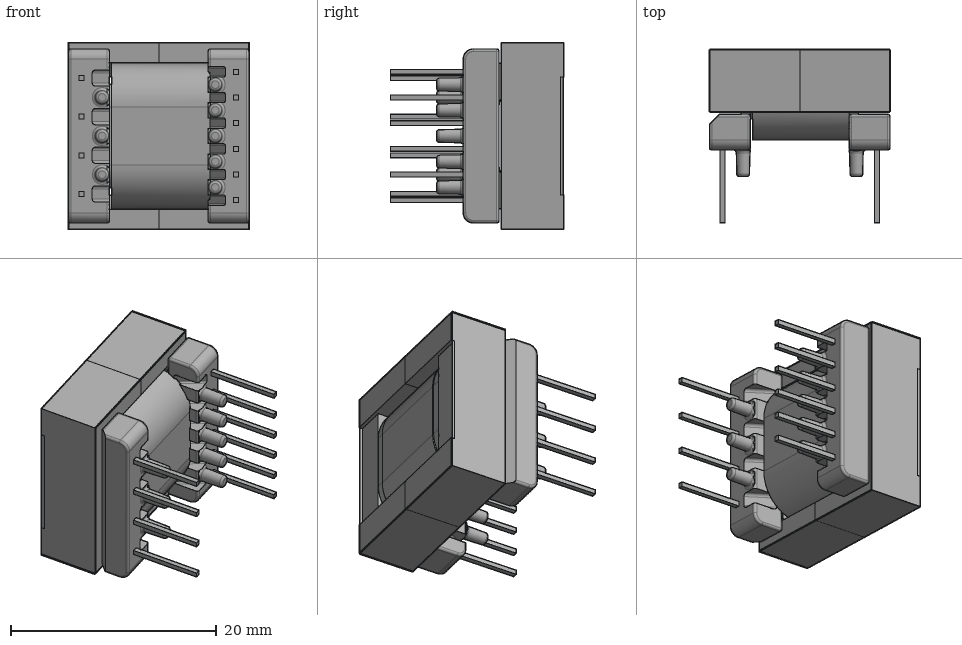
import cadquery as cq
import math


TOTAL_X = 17.65
TOTAL_Z = 18.2
TAPE_THICKNESS = 0.1
TAPE_SETBACK = 0.07
CORE_DEPTH = 6.15
CORE_X = TOTAL_X - 2 * TAPE_THICKNESS
CORE_Z = TOTAL_Z - 2 * TAPE_THICKNESS
WINDOW_HALF_X = 5.73
BACK_OPENING_HALF_Z = 5.75

LEG_RADIUS = 1.55
AXIS_Y = LEG_RADIUS
ROUND_CENTER_Z = 2.84
HOLE_RADIUS = 1.71
TUBE_RADIUS = 2.2
WINDING_RADIUS = 4.24
WINDOW_RADIUS = WINDING_RADIUS + 0.05
BACK_CHANNEL_Y = AXIS_Y + WINDING_RADIUS
WINDING_LEFT_X = -4.59
WINDING_RIGHT_X = 4.97

RAIL_INNER_X = 4.79
RAIL_OUTER_X = 8.77
RAIL_HALF_Z = 8.46
RAIL_BACK_Y = -0.16
RAIL_FRONT_Y = -3.65
RAIL_END_FILLET = 1.0
RAIL_EDGE_FILLET = 0.25
RAIL_CHAMFER = 0.96
FLANGE_OUTER_X = 5.7

SLOT_END_X = 6.46
SLOT_DEPTH = 2.73
FOUR_PIN_SLOT_WIDTH = 1.58
SIX_PIN_SLOT_WIDTH = 1.0
FOUR_PIN_SLOT_FILLET = 0.31
SIX_PIN_SLOT_FILLET = 0.16

PIN_X = 7.5
PIN_WIDTH = 0.5
PIN_TIP_Y = CORE_DEPTH - 16.87
FOUR_PIN_PITCH = 3.75
SIX_PIN_PITCH = 2.5
PEG_X = 5.5
PEG_BASE_RADIUS = 0.67
PEG_TIP_RADIUS = 0.62
PEG_TIP_Y = -6.22
PEG_TIP_FILLET = 0.25
PEG_BASE_FILLET = 0.27


def box(x_range, y_range, z_range):
    """Box between two limits along each axis."""
    sizes = [high - low for low, high in (x_range, y_range, z_range)]
    corner = cq.Vector(x_range[0], y_range[0], z_range[0])
    return cq.Workplane("XY").box(*sizes, centered=False).translate(corner)


def stadium(radius, x_start, x_end):
    """Bar along X with a stadium section around the center-leg axis."""
    return (
        cq.Workplane("YZ", origin=(x_start, AXIS_Y, 0))
        .slot2D(2 * (ROUND_CENTER_Z + radius), 2 * radius, 90)
        .extrude(x_end - x_start)
    )


def front_open_stadium(radius, front_y, x_start, x_end):
    """Stadium bar whose full height continues straight from the axis to front_y."""
    half_z = ROUND_CENTER_Z + radius
    front_block = box((x_start, x_end), (front_y, AXIS_Y), (-half_z, half_z))
    return stadium(radius, x_start, x_end).union(front_block)


def row(count, pitch):
    """Centered, evenly spaced heights."""
    return [(i - (count - 1) / 2) * pitch for i in range(count)]


def make_core_half(side):
    """E-shaped core half; side is -1 or +1 along X."""
    x_range = sorted((0, side * CORE_X / 2))
    window_x = sorted((0, side * WINDOW_HALF_X))
    channel_z = (-BACK_OPENING_HALF_Z, BACK_OPENING_HALF_Z)
    half = box(x_range, (0, CORE_DEPTH), (-CORE_Z / 2, CORE_Z / 2))
    half = half.cut(front_open_stadium(WINDOW_RADIUS, 0, *window_x))
    half = half.cut(box(window_x, (AXIS_Y, CORE_DEPTH), channel_z))
    half = half.cut(box(x_range, (BACK_CHANNEL_Y, CORE_DEPTH), channel_z))
    return half.union(stadium(LEG_RADIUS, *x_range))


def make_tape():
    """Thin band wrapped around the four outer sides of the core."""
    y_range = (TAPE_SETBACK, CORE_DEPTH - TAPE_SETBACK)
    outer = box((-TOTAL_X / 2, TOTAL_X / 2), y_range, (-TOTAL_Z / 2, TOTAL_Z / 2))
    inner = box((-CORE_X / 2, CORE_X / 2), y_range, (-CORE_Z / 2, CORE_Z / 2))
    return outer.cut(inner)


def make_winding():
    """Wire package around the bobbin tube."""
    ends = (WINDING_LEFT_X, WINDING_RIGHT_X)
    return stadium(WINDING_RADIUS, *ends).cut(stadium(TUBE_RADIUS, *ends))


def make_rail():
    """Rounded terminal rail on the +X side."""
    rail = box(
        (RAIL_INNER_X, RAIL_OUTER_X),
        (RAIL_FRONT_Y, RAIL_BACK_Y),
        (-RAIL_HALF_Z, RAIL_HALF_Z),
    )
    rail = rail.edges("|X and <Y").fillet(RAIL_END_FILLET)
    return rail.faces("<X or >X or >Y").edges().fillet(RAIL_EDGE_FILLET)


def make_rail_chamfer():
    """Wedge that bevels the outer back edge of a +X rail."""
    return (
        cq.Workplane("XY", origin=(0, 0, -RAIL_HALF_Z))
        .moveTo(RAIL_OUTER_X, RAIL_BACK_Y)
        .lineTo(RAIL_OUTER_X - RAIL_CHAMFER, RAIL_BACK_Y)
        .lineTo(RAIL_OUTER_X, RAIL_BACK_Y - RAIL_CHAMFER)
        .close()
        .extrude(2 * RAIL_HALF_Z)
    )


def make_slot(z, width, fillet):
    """Ramp-floored wire slot, deepest at the inner face of a +X rail."""
    clearance = PEG_BASE_FILLET
    return (
        cq.Workplane("XY", origin=(0, 0, z - width / 2))
        .moveTo(RAIL_INNER_X, RAIL_FRONT_Y + SLOT_DEPTH)
        .lineTo(SLOT_END_X, RAIL_FRONT_Y)
        .lineTo(SLOT_END_X, RAIL_FRONT_Y - clearance)
        .lineTo(RAIL_INNER_X, RAIL_FRONT_Y - clearance)
        .close()
        .extrude(width)
        .faces(">Y or >(1,1,0)")
        .edges("not |Z")
        .fillet(fillet)
    )


def make_peg(z):
    """Tapered wire-guide peg with a flared base and a rounded tip, on a +X rail."""
    flare_y = RAIL_FRONT_Y - PEG_BASE_FILLET
    arc_middle = PEG_BASE_FILLET * (1 - math.sqrt(0.5))
    peg = (
        cq.Workplane("XY")
        .moveTo(0, RAIL_FRONT_Y)
        .lineTo(PEG_BASE_RADIUS + PEG_BASE_FILLET, RAIL_FRONT_Y)
        .threePointArc(
            (PEG_BASE_RADIUS + arc_middle, RAIL_FRONT_Y - arc_middle),
            (PEG_BASE_RADIUS, flare_y),
        )
        .lineTo(PEG_TIP_RADIUS, PEG_TIP_Y)
        .lineTo(0, PEG_TIP_Y)
        .close()
        .revolve(360, (0, 0, 0), (0, 1, 0))
        .faces("<Y")
        .edges()
        .fillet(PEG_TIP_FILLET)
        .translate((PEG_X, 0, z))
    )
    reach = (z - RAIL_HALF_Z, z + RAIL_HALF_Z)
    return peg.intersect(box((RAIL_INNER_X, RAIL_OUTER_X), (PEG_TIP_Y, RAIL_FRONT_Y), reach))


def make_pin(z):
    """Square terminal pin on a +X rail."""
    half = PIN_WIDTH / 2
    return box((PIN_X - half, PIN_X + half), (PIN_TIP_Y, RAIL_FRONT_Y), (z - half, z + half))


def make_bobbin_side(pin_count, pitch, slot_width, slot_fillet):
    """Flange and rail with pegs, slots and pins, built on the +X side."""
    side = make_rail()
    side = side.union(
        front_open_stadium(WINDING_RADIUS, RAIL_BACK_Y, RAIL_INNER_X, FLANGE_OUTER_X)
    )
    for z in row(pin_count - 1, pitch):
        side = side.union(make_peg(z))
    for z in row(pin_count, pitch):
        side = side.cut(make_slot(z, slot_width, slot_fillet))
        side = side.union(make_pin(z))
    return side


def make_bobbin(winding):
    """Tube with a four-pin side at -X and a six-pin side at +X, hollow for the center leg."""
    four_pin = make_bobbin_side(4, FOUR_PIN_PITCH, FOUR_PIN_SLOT_WIDTH, FOUR_PIN_SLOT_FILLET)
    four_pin = four_pin.cut(make_rail_chamfer()).mirror("YZ")
    six_pin = make_bobbin_side(6, SIX_PIN_PITCH, SIX_PIN_SLOT_WIDTH, SIX_PIN_SLOT_FILLET)
    tube = stadium(TUBE_RADIUS, -FLANGE_OUTER_X, FLANGE_OUTER_X)
    bobbin = tube.union(four_pin).union(six_pin)
    bobbin = bobbin.cut(stadium(HOLE_RADIUS, -FLANGE_OUTER_X, FLANGE_OUTER_X))
    return bobbin.cut(winding)


left_core = make_core_half(-1)
right_core = make_core_half(1)
tape = make_tape()
winding = make_winding()
bobbin = make_bobbin(winding)

result = cq.Compound.makeCompound(
    [left_core.val(), right_core.val(), tape.val(), winding.val(), bobbin.val()]
)